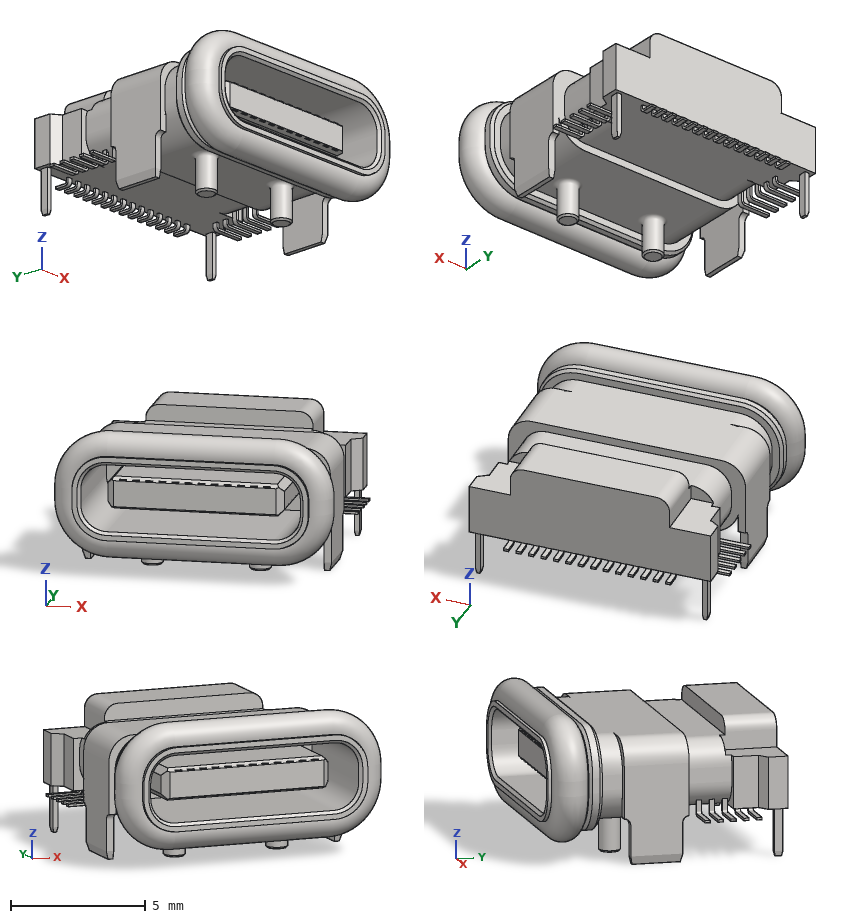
import cadquery as cq
import math


CORNER_X = 3.18
CORNER_Z = 0.29
SHELL_RADIUS = 1.32
SHELL_WALL = 0.32
CAVITY_RADIUS = SHELL_RADIUS - SHELL_WALL
MOUTH_CHAMFER = 0.12
SHELL_HALF_WIDTH = CORNER_X + SHELL_RADIUS
SHELL_TOP = CORNER_Z + SHELL_RADIUS
INSERT_HALF_HEIGHT = CORNER_Z + CAVITY_RADIUS

RING_REACH = 2.12
RING_RADIUS = 0.68
RING_Y = 0.81
FLANGE_RADIUS = 1.73
FLANGE_FRONT = 1.5
FLANGE_BACK = 2.02
FLANGE_CHAMFER = 0.12

FOOT_Z = -3.13
SADDLE_HALF_WIDTH = 4.74
SADDLE_CORNER = 0.97
LEG_THICKNESS = 0.3
LEG_INNER_X = SADDLE_HALF_WIDTH - LEG_THICKNESS
SADDLE_FRONT = 2.88
SADDLE_BACK = 5.38
LEG_FRONT = 3.13
LEG_BACK = 5.14
LEG_SHOULDER_Z = -1.37
LEG_SHOULDER_FILLET = LEG_FRONT - SADDLE_FRONT
LEG_TIP_HEIGHT = 0.32
LEG_TIP_SIDE = 0.1
LEG_TIP_ENDS = 0.07

POST_X = 2.06
POST_Y = 3.01
POST_RADIUS = 0.41
POST_FILLET = 0.16
POST_CHAMFER = 0.07

CAVITY_FLOOR = 4.77
TONGUE_FRONT = 0.87
TONGUE_HALF_WIDTH = 3.36
TONGUE_HALF_HEIGHT = 0.62
TONGUE_CORNER = 0.27
TIP_BEVEL_SIDE = 0.27
TIP_BEVEL_FLAT = 0.12
TIP_BEVEL_LENGTH = 0.27
PITCH = 0.5
PAD_COUNT = 12
PAD_WIDTH = 0.25
PAD_DEPTH = 0.07
PAD_SETBACK = 0.02

BLOCK_FRONT = 7.17
BLOCK_BACK = 9.17
HOOD_TOP = 1.92
HOOD_CORNER = 0.53
WING_TOP = 0.71
WING_FRONT = 6.96
WING_NARROW = 4.42
WING_WIDE = 4.83
WING_SLANT_FRONT = 8.13
WING_SLANT_BACK = 8.4

REAR_CONTACTS = 14
SIDE_CONTACTS = 5
CONTACT_WIDTH = 0.2
CONTACT_THICKNESS = 0.1
CONTACT_BEND = 0.07
CONTACT_BOTTOM = -1.59
REAR_CONTACT_BEND_Y = 8.93
REAR_CONTACT_END_Y = 9.47
SIDE_CONTACT_BEND_X = 3.89
SIDE_CONTACT_END_X = 5.16
SIDE_CONTACT_LAST_Y = 7.98
PEG_INNER_X = 4.43
PEG_WIDTH = 0.2
PEG_FRONT = 8.69
PEG_DEPTH = 0.33
PEG_TIP_HEIGHT = 0.19
PEG_TIP_INSET = 0.04


def box(x0, x1, y0, y1, z0, z1):
    """Box between two opposite corners."""
    return cq.Workplane("XY").box(x1 - x0, y1 - y0, z1 - z0, centered=False).translate((x0, y0, z0))


def along_y(y):
    """XZ sketch plane at the given Y; extruding goes toward +Y."""
    return cq.Workplane(cq.Plane(origin=(0, y, 0), xDir=(-1, 0, 0), normal=(0, 1, 0)))


def barrel(radius, y0, y1):
    """Rounded rectangle around the plug axis, running from y0 to y1."""
    width = 2 * (CORNER_X + radius)
    height = 2 * (CORNER_Z + radius)
    return along_y(y0).rect(width, height).extrude(y1 - y0).edges("|Y").fillet(radius)


def mirrored(body):
    """The body joined with its mirror image across X = 0."""
    return body.union(body.mirror("YZ"))


def tapered_tip(bottom, top, height):
    """Solid lofted between two (x0, x1, y0, y1) rectangles, the lower one at FOOT_Z."""
    def rectangle(plan, z):
        x0, x1, y0, y1 = plan
        corners = [(x0, y0, z), (x1, y0, z), (x1, y1, z), (x0, y1, z)]
        return cq.Wire.makePolygon([cq.Vector(*c) for c in corners], close=True)

    wires = [rectangle(bottom, FOOT_Z), rectangle(top, FOOT_Z + height)]
    return cq.Workplane(cq.Solid.makeLoft(wires, True))


def make_ring():
    """Round cord around the shell, flat where it sits on the shell."""
    radius = RING_REACH - RING_RADIUS
    half_width = CORNER_X + radius
    half_height = CORNER_Z + radius
    diagonal = radius * math.sqrt(0.5)
    path = along_y(RING_Y).moveTo(0, half_height)
    for sx, sz in [(1, 1), (1, -1), (-1, -1), (-1, 1)]:
        top_end = (sx * CORNER_X, sz * half_height)
        middle = (sx * (CORNER_X + diagonal), sz * (CORNER_Z + diagonal))
        side_end = (sx * half_width, sz * CORNER_Z)
        start, end = (top_end, side_end) if sx == sz else (side_end, top_end)
        path = path.lineTo(*start).threePointArc(middle, end)
    path = path.close()
    cord = cq.Workplane("YZ").center(RING_Y, half_height).circle(RING_RADIUS).sweep(path)
    return cord.cut(barrel(SHELL_RADIUS, 0, SADDLE_BACK))


def make_flange():
    flange = barrel(FLANGE_RADIUS, FLANGE_FRONT, FLANGE_BACK)
    return flange.faces("<Y or >Y").chamfer(FLANGE_CHAMFER)


def make_saddle():
    """Bridge flush with the shell top, with straight sides down to the shoulders of the legs."""
    bridge = box(-SADDLE_HALF_WIDTH, SADDLE_HALF_WIDTH, SADDLE_FRONT, SADDLE_BACK, 0, SHELL_TOP)
    bridge = bridge.edges("|Y and >Z").fillet(SADDLE_CORNER)
    leg_top = FOOT_Z + LEG_TIP_HEIGHT
    fillet = LEG_SHOULDER_FILLET
    side = (
        cq.Workplane("YZ", origin=(LEG_INNER_X, 0, 0))
        .moveTo(SADDLE_FRONT, 0)
        .lineTo(SADDLE_FRONT, LEG_SHOULDER_Z)
        .radiusArc((LEG_FRONT, LEG_SHOULDER_Z - fillet), fillet)
        .lineTo(LEG_FRONT, leg_top)
        .lineTo(LEG_BACK, leg_top)
        .lineTo(LEG_BACK, LEG_SHOULDER_Z - fillet)
        .radiusArc((SADDLE_BACK, LEG_SHOULDER_Z), fillet)
        .lineTo(SADDLE_BACK, 0)
        .close()
        .extrude(LEG_THICKNESS)
    )
    leg_side = SADDLE_HALF_WIDTH
    tip_plan = (LEG_INNER_X, leg_side - LEG_TIP_SIDE, LEG_FRONT + LEG_TIP_ENDS, LEG_BACK - LEG_TIP_ENDS)
    leg_plan = (LEG_INNER_X, leg_side, LEG_FRONT, LEG_BACK)
    tip = tapered_tip(tip_plan, leg_plan, LEG_TIP_HEIGHT)
    return bridge.union(mirrored(side.union(tip)))


def make_post():
    """Round post with a flared root and a chamfered end, turned about its own axis."""
    root_z = -SHELL_TOP
    flare = POST_RADIUS + POST_FILLET
    return (
        cq.Workplane("XZ", origin=(POST_X, POST_Y, 0))
        .moveTo(0, FOOT_Z)
        .lineTo(POST_RADIUS - POST_CHAMFER, FOOT_Z)
        .lineTo(POST_RADIUS, FOOT_Z + POST_CHAMFER)
        .lineTo(POST_RADIUS, root_z - POST_FILLET)
        .radiusArc((flare, root_z), POST_FILLET)
        .lineTo(flare, root_z + SHELL_WALL / 2)
        .lineTo(0, root_z + SHELL_WALL / 2)
        .close()
        .revolve(360, (0, 0, 0), (0, 1, 0))
    )


def make_shell():
    shell = barrel(SHELL_RADIUS, 0, SADDLE_BACK).union(make_flange()).union(make_saddle())
    cavity = barrel(CAVITY_RADIUS, 0, SADDLE_BACK)
    shell = shell.union(mirrored(make_post())).cut(cavity)
    mouth_edges = cavity.faces("<Y").edges().vals()
    return shell.newObject(mouth_edges).chamfer(MOUTH_CHAMFER)


def make_tongue():
    """Plug tongue with cut corners, a beveled tip and contact pads that end at the tip."""
    def tip_wedge(half_size, inset, reach, turn):
        """Stock removed from one side of the tip; turn is the angle about the plug axis."""
        outside = half_size + inset
        profile = [
            (half_size - inset, 0),
            (outside, 0),
            (outside, 2 * TIP_BEVEL_LENGTH),
        ]
        wedge = cq.Workplane("XY", origin=(0, TONGUE_FRONT, -reach)).polyline(profile).close()
        return wedge.extrude(2 * reach).rotate((0, 0, 0), (0, 1, 0), turn)

    length = CAVITY_FLOOR - TONGUE_FRONT
    tongue = along_y(TONGUE_FRONT).rect(2 * TONGUE_HALF_WIDTH, 2 * TONGUE_HALF_HEIGHT).extrude(length)
    tongue = tongue.edges("|Y").chamfer(TONGUE_CORNER)
    for turn in (0, 180):
        tongue = tongue.cut(tip_wedge(TONGUE_HALF_WIDTH, TIP_BEVEL_SIDE, TONGUE_HALF_HEIGHT, turn))
        tongue = tongue.cut(tip_wedge(TONGUE_HALF_HEIGHT, TIP_BEVEL_FLAT, TONGUE_HALF_WIDTH, turn + 90))
    pad_front = TONGUE_FRONT + PAD_SETBACK
    pad_z = TONGUE_HALF_HEIGHT - PAD_DEPTH
    for i in range(PAD_COUNT):
        x = (i - (PAD_COUNT - 1) / 2) * PITCH
        pad = box(x - PAD_WIDTH / 2, x + PAD_WIDTH / 2, pad_front, CAVITY_FLOOR, -pad_z, pad_z)
        tongue = tongue.union(pad)
    return tongue


def make_block():
    """Rear block: a tall rounded hood in the middle and a stepped wing on each side."""
    hood = box(-CORNER_X, CORNER_X, BLOCK_FRONT, BLOCK_BACK, -INSERT_HALF_HEIGHT, HOOD_TOP)
    hood = hood.edges("|Y and >Z").fillet(HOOD_CORNER)
    wing = (
        cq.Workplane("XY", origin=(0, 0, -INSERT_HALF_HEIGHT))
        .polyline([
            (0, BLOCK_FRONT),
            (WING_NARROW, BLOCK_FRONT),
            (WING_NARROW, WING_SLANT_FRONT),
            (WING_WIDE, WING_SLANT_BACK),
            (WING_WIDE, BLOCK_BACK),
            (0, BLOCK_BACK),
        ])
        .close()
        .extrude(INSERT_HALF_HEIGHT + WING_TOP)
    )
    return hood.union(mirrored(wing))


def make_contact(bend, end):
    """L-shaped contact foot in the +X half plane: down at x = bend, then outward to x = end."""
    top = CONTACT_BOTTOM + CONTACT_THICKNESS
    outer_bend = CONTACT_BEND + CONTACT_THICKNESS
    inside = bend - CONTACT_THICKNESS
    return (
        cq.Workplane("XZ", origin=(0, CONTACT_WIDTH / 2, 0))
        .moveTo(inside, 0)
        .lineTo(bend, 0)
        .lineTo(bend, top + CONTACT_BEND)
        .radiusArc((bend + CONTACT_BEND, top), -CONTACT_BEND)
        .lineTo(end, top)
        .lineTo(end, CONTACT_BOTTOM)
        .lineTo(inside + outer_bend, CONTACT_BOTTOM)
        .radiusArc((inside, CONTACT_BOTTOM + outer_bend), outer_bend)
        .close()
        .extrude(CONTACT_WIDTH)
    )


def make_peg():
    """Flat board peg under a wing, with a tapered tip."""
    x0, x1 = PEG_INNER_X, PEG_INNER_X + PEG_WIDTH
    y0, y1 = PEG_FRONT, PEG_FRONT + PEG_DEPTH
    inset = PEG_TIP_INSET
    shank = box(x0, x1, y0, y1, FOOT_Z + PEG_TIP_HEIGHT, -INSERT_HALF_HEIGHT)
    tip = tapered_tip((x0 + inset, x1 - inset, y0 + inset, y1 - inset), (x0, x1, y0, y1), PEG_TIP_HEIGHT)
    return shank.union(tip)


def make_insert():
    insert = barrel(CAVITY_RADIUS, CAVITY_FLOOR, BLOCK_FRONT)
    wing_recess = box(CORNER_X, SHELL_HALF_WIDTH, WING_FRONT, BLOCK_FRONT, WING_TOP, SHELL_TOP)
    insert = insert.cut(mirrored(wing_recess)).union(make_block()).union(make_tongue())
    insert = insert.union(mirrored(make_peg()))
    side_contact = make_contact(SIDE_CONTACT_BEND_X, SIDE_CONTACT_END_X)
    for i in range(SIDE_CONTACTS):
        contact = side_contact.translate((0, SIDE_CONTACT_LAST_Y - i * PITCH, 0))
        insert = insert.union(mirrored(contact))
    rear_contact = make_contact(REAR_CONTACT_BEND_Y, REAR_CONTACT_END_Y).rotate((0, 0, 0), (0, 0, 1), 90)
    for i in range(REAR_CONTACTS):
        x = (i - (REAR_CONTACTS - 1) / 2) * PITCH
        insert = insert.union(rear_contact.translate((x, 0, 0)))
    return insert


seal_ring = make_ring()
shell = make_shell()
insert = make_insert()
result = cq.Compound.makeCompound([seal_ring.val(), shell.val(), insert.val()])